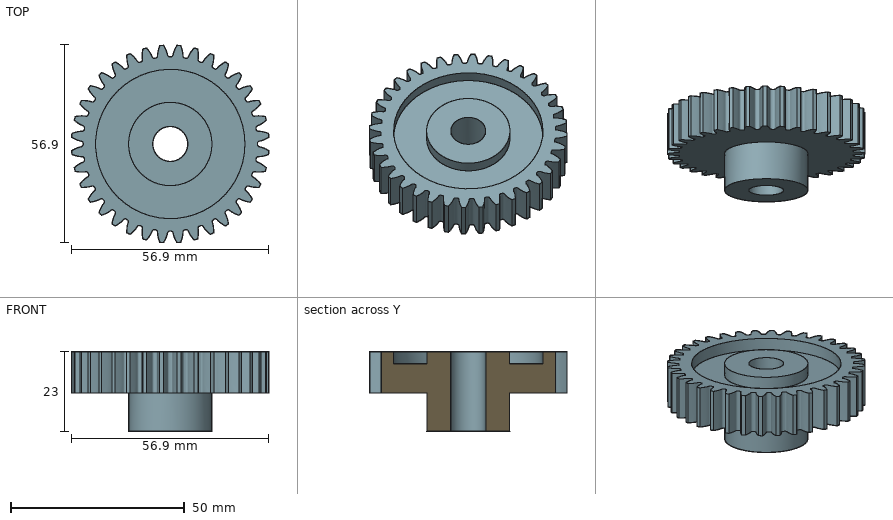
import cadquery as cq
import math

module = 1.5
tooth_count = 36
dedendum_factor = 1.25
root_fillet_factor = 0.38
pressure_angle = math.radians(20)
face_width = 12.0

hub_diameter = 24.0
hub_length = 11.0
bore_diameter = 10.0
pocket_diameter = 43.0
pocket_depth = 3.5

addendum = module
dedendum = dedendum_factor * module
root_fillet = root_fillet_factor * module
pitch_radius = module * tooth_count / 2
tip_radius = pitch_radius + addendum
root_radius = pitch_radius - dedendum
base_radius = pitch_radius * math.cos(pressure_angle)

fillet_center_radius = root_radius + root_fillet
fillet_center_roll = math.sqrt((fillet_center_radius / base_radius) ** 2 - 1)
foot_roll = fillet_center_roll - root_fillet / base_radius
tip_roll = math.sqrt((tip_radius / base_radius) ** 2 - 1)

tooth_pitch = 2 * math.pi / tooth_count

flank_steps = 4


def polar(radius, angle):
    return (radius * math.cos(angle), radius * math.sin(angle))


def involute(angle):
    return math.tan(angle) - angle


def half_tooth_angle(radius):
    """Half the angular thickness of a tooth at the given radius."""
    local_pressure_angle = math.acos(base_radius / radius)
    return tooth_pitch / 4 + involute(pressure_angle) - involute(local_pressure_angle)


def flank_radii():
    """Radii from the top of the root fillet to the tip, at equal steps of roll angle."""
    roll_step = (tip_roll - foot_roll) / flank_steps
    rolls = [foot_roll + i * roll_step for i in range(flank_steps + 1)]
    return [base_radius * math.sqrt(1 + roll**2) for roll in rolls]


flank_point_radii = flank_radii()
foot_radius = flank_point_radii[0]
half_gap = tooth_pitch / 2 - half_tooth_angle(foot_radius)
half_root = half_gap - (math.atan(fillet_center_roll) - math.atan(foot_roll))


def fillet_middle(gap_center, side):
    """Middle of the root fillet on one side (-1 or 1) of a gap."""
    center_angle = gap_center + side * half_root
    to_foot = center_angle + side * (math.atan(fillet_center_roll) + math.pi / 2)
    to_root = center_angle + side * math.pi
    center_x, center_y = polar(fillet_center_radius, center_angle)
    offset_x, offset_y = polar(root_fillet, (to_foot + to_root) / 2)
    return (center_x + offset_x, center_y + offset_y)


def add_tooth(outline, tooth_center):
    """Extend the outline counter-clockwise over one tooth and the gap after it."""
    rising = [polar(r, tooth_center - half_tooth_angle(r)) for r in flank_point_radii]
    falling = [polar(r, tooth_center + half_tooth_angle(r)) for r in reversed(flank_point_radii)]
    gap_center = tooth_center + tooth_pitch / 2
    root_start = polar(root_radius, gap_center - half_root)
    root_middle = polar(root_radius, gap_center)
    root_end = polar(root_radius, gap_center + half_root)
    next_foot = polar(foot_radius, gap_center + half_gap)
    return (
        outline.spline(rising[1:], includeCurrent=True)
        .threePointArc(polar(tip_radius, tooth_center), falling[0])
        .spline(falling[1:], includeCurrent=True)
        .threePointArc(fillet_middle(gap_center, -1), root_start)
        .threePointArc(root_middle, root_end)
        .threePointArc(fillet_middle(gap_center, 1), next_foot)
    )


def make_gear_blank():
    first_center = tooth_pitch / 2
    start = polar(foot_radius, first_center - half_tooth_angle(foot_radius))
    outline = cq.Workplane("XY").moveTo(*start)
    for i in range(tooth_count):
        outline = add_tooth(outline, first_center + i * tooth_pitch)
    return outline.close().extrude(face_width)


def make_hub():
    return cq.Workplane("XY").circle(hub_diameter / 2).extrude(-hub_length)


def make_pocket():
    return (
        cq.Workplane("XY", origin=(0, 0, face_width))
        .circle(pocket_diameter / 2)
        .circle(hub_diameter / 2)
        .extrude(-pocket_depth)
    )


def make_bore():
    return (
        cq.Workplane("XY", origin=(0, 0, -hub_length))
        .circle(bore_diameter / 2)
        .extrude(hub_length + face_width)
    )


result = make_gear_blank().union(make_hub()).cut(make_pocket()).cut(make_bore())